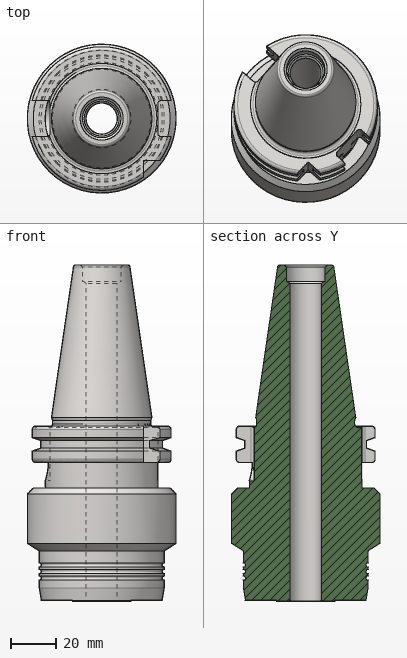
import cadquery as cq

total_height = 148.9
end_face_z = 0.5
skirt_taper_top_z = 5.8
lower_groove_z = 10.3
groove_pitch = 2.9
groove_count = 3
collar_bottom_z = 22.3
collar_top_z = 50.2
flange_bottom_z = 61.3
flange_top_z = 77.6
undercut_bottom_z = 80.1
gauge_z = 81.5

tip_radius = 13.0
skirt_radius = 27.7
collar_radius = 32.98
neck_radius = 25.0
flange_radius = 31.79
flange_groove_radius = 28.1
undercut_radius = 21.81
gauge_radius = 22.26

skirt_taper = 0.9
skirt_groove_radius = 0.9
collar_top_chamfer = 2.7
collar_bottom_chamfer_height = 3.3
flange_edge_radius = 1.6
flange_groove_floor_width = 3.3
flange_groove_mouth_width = 6.0
cone_tip_fillet = 1.0
cone_slope = 7 / 48

relief_depth = 0.6
relief_radius = 24.4
relief_fillet = 1.5

through_radius = 6.8
counterbore_radius = 8.5
counterbore_depth = 7.5
counterbore_mouth_chamfer = 1.0
counterbore_step_chamfer = 0.9

slot_width = 16.0
slot_corner_radius = 1.5
round_slot_floor_x = 22.8
open_slot_floor_x = 24.9
notch_x = 18.5
notch_y = 18.6

flange_mid_z = (flange_bottom_z + flange_top_z) / 2
cone_tip_radius = gauge_radius - cone_slope * (total_height - gauge_z)


def turned_body():
    """Revolve the half section from the lower tip up to the small end of the taper."""
    profile = (
        cq.Workplane("XZ")
        .lineTo(tip_radius, 0)
        .lineTo(tip_radius, end_face_z)
        .lineTo(skirt_radius - skirt_taper, end_face_z)
        .lineTo(skirt_radius, skirt_taper_top_z)
        .lineTo(skirt_radius, collar_bottom_z)
        .lineTo(collar_radius, collar_bottom_z + collar_bottom_chamfer_height)
        .lineTo(collar_radius, collar_top_z - collar_top_chamfer)
        .lineTo(collar_radius - collar_top_chamfer, collar_top_z)
        .lineTo(neck_radius, collar_top_z)
        .lineTo(neck_radius, flange_bottom_z)
        .lineTo(flange_radius - flange_edge_radius, flange_bottom_z)
        .radiusArc((flange_radius, flange_bottom_z + flange_edge_radius), -flange_edge_radius)
        .lineTo(flange_radius, flange_mid_z - flange_groove_mouth_width / 2)
        .lineTo(flange_groove_radius, flange_mid_z - flange_groove_floor_width / 2)
        .lineTo(flange_groove_radius, flange_mid_z + flange_groove_floor_width / 2)
        .lineTo(flange_radius, flange_mid_z + flange_groove_mouth_width / 2)
        .lineTo(flange_radius, flange_top_z - flange_edge_radius)
        .radiusArc((flange_radius - flange_edge_radius, flange_top_z), -flange_edge_radius)
        .lineTo(relief_radius, flange_top_z)
        .lineTo(relief_radius, flange_top_z - relief_depth)
        .lineTo(undercut_radius + relief_fillet, flange_top_z - relief_depth)
        .radiusArc((undercut_radius, flange_top_z - relief_depth + relief_fillet), relief_fillet)
        .lineTo(undercut_radius, undercut_bottom_z)
        .lineTo(gauge_radius, gauge_z)
        .lineTo(cone_tip_radius, total_height)
        .lineTo(0, total_height)
        .close()
    )
    body = profile.revolve(360, (0, 0, 0), (0, 1, 0))
    return body.faces(">Z").edges().fillet(cone_tip_fillet)


def skirt_grooves():
    """Half-round rings around the lower skirt."""
    grooves = cq.Workplane("XY")
    for index in range(groove_count):
        z = lower_groove_z + index * groove_pitch
        ring = cq.Solid.makeTorus(skirt_radius, skirt_groove_radius, cq.Vector(0, 0, z))
        grooves = grooves.add(ring)
    return grooves.combine()


def bore():
    """Through hole with a chamfered counterbore at the small end of the taper."""
    step_z = total_height - counterbore_depth
    mouth_radius = counterbore_radius + counterbore_mouth_chamfer
    profile = (
        cq.Workplane("XZ")
        .lineTo(through_radius, 0)
        .lineTo(through_radius, step_z - counterbore_step_chamfer)
        .lineTo(through_radius + counterbore_step_chamfer, step_z)
        .lineTo(counterbore_radius, step_z)
        .lineTo(counterbore_radius, total_height - counterbore_mouth_chamfer)
        .lineTo(mouth_radius, total_height)
        .lineTo(0, total_height)
        .close()
    )
    return profile.revolve(360, (0, 0, 0), (0, 1, 0))


def drive_slot(floor_x):
    """Radial slot on the +X side: open at the flange top, round at its lower end."""
    depth = collar_radius - floor_x
    height = flange_top_z - collar_top_z
    channel = (
        cq.Workplane("XY", origin=(floor_x + depth / 2, 0, collar_top_z))
        .box(depth, slot_width, height, centered=(True, True, False))
        .edges("|Z and <X")
        .fillet(slot_corner_radius)
    )
    half_width = slot_width / 2
    outline = (
        cq.Workplane("YZ")
        .moveTo(half_width, flange_top_z)
        .lineTo(half_width, flange_bottom_z)
        .threePointArc((0, flange_bottom_z - half_width), (-half_width, flange_bottom_z))
        .lineTo(-half_width, flange_top_z)
        .close()
        .extrude(collar_radius)
    )
    return channel.intersect(outline)


def index_notch():
    """Square notch through the flange rim in the +X, -Y quadrant."""
    size = collar_radius
    corner = cq.Workplane("XY", origin=(notch_x, -notch_y - size, flange_bottom_z))
    return corner.box(size, size, flange_top_z - flange_bottom_z, centered=False)


round_slot = drive_slot(round_slot_floor_x).rotate((0, 0, 0), (0, 0, 1), 180)
open_slot = drive_slot(open_slot_floor_x)

result = (
    turned_body()
    .cut(skirt_grooves())
    .cut(bore())
    .cut(round_slot)
    .cut(open_slot)
    .cut(index_notch())
)